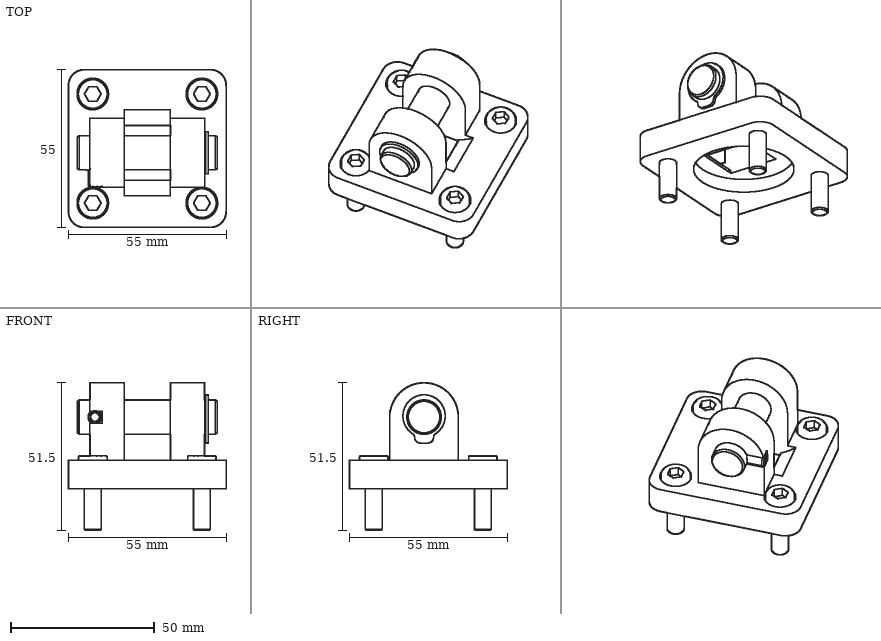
import cadquery as cq
import math

plate_side = 55.0
plate_thickness = 10.0
plate_corner_radius = 5.5

pivot_height = 25.0
pivot_y = -1.5
eye_radius = 12.0
eye_thickness = 12.0
eye_gap = 16.0
eye_outer_x = eye_gap / 2 + eye_thickness

recess_diameter = 35.0
recess_depth = 5.0

slot_throat = 19.0
swing_radius = 21.25

shaft_diameter = 12.0
shaft_length = 48.8
shaft_chamfer = 0.5
shaft_chamfer_length = 0.7

groove_diameter = 11.5
ring_start_x = 20.3
ring_thickness = 1.0
ring_clearance = 0.15
ring_radius = 7.35
ring_offset_z = 0.4
lug_half_width = 3.3
lug_corner_radius = 2.0
lug_fillet_radius = 1.5

lock_notch_height = 4.2
lock_notch_inner_x = -15.8
lock_pin_diameter = 4.75
lock_pin_x = -18.25
lock_pin_face_diameter = 4.2
lock_pin_chamfer_length = 0.65
lock_bore_diameter = 3.0
lock_bore_depth = 3.0
lock_slit_width = 0.5
lock_slit_angle = 45.0

screw_spacing = 38.0
screw_diameter = 6.0
screw_projection = 14.45
screw_tip_chamfer = 0.5
head_diameter = 10.0
head_height = 6.0
head_projection = 1.55
head_fillet = 0.6
counterbore_diameter = 11.0
seat_height = plate_thickness + head_projection - head_height
socket_across_flats = 5.0
socket_depth = 3.0

drill_tip_half_angle = math.radians(60)


def cone_height(radius):
    return radius / math.tan(drill_tip_half_angle)


def make_plate():
    plate = (
        cq.Workplane("XY")
        .rect(plate_side, plate_side)
        .extrude(plate_thickness)
        .edges("|Z")
        .fillet(plate_corner_radius)
    )
    recess = cq.Workplane("XY").circle(recess_diameter / 2).extrude(recess_depth)
    slot = cq.Workplane("XY", origin=(0, pivot_y, 0)).rect(eye_gap, slot_throat).extrude(plate_thickness)
    swing_clearance = (
        cq.Workplane("YZ", origin=(-eye_gap / 2, pivot_y, pivot_height))
        .circle(swing_radius)
        .extrude(eye_gap)
    )
    return plate.cut(recess).cut(slot).cut(swing_clearance)


def make_eye(start_x):
    return (
        cq.Workplane("YZ", origin=(start_x, pivot_y, 0))
        .moveTo(-eye_radius, plate_thickness)
        .lineTo(-eye_radius, pivot_height)
        .threePointArc((0, pivot_height + eye_radius), (eye_radius, pivot_height))
        .lineTo(eye_radius, plate_thickness)
        .close()
        .extrude(eye_thickness)
    )


def make_notch():
    """Cutter for the locking pin seat, open to the outer side and front of the -X eye."""
    notch_width = lock_notch_inner_x + eye_outer_x
    return (
        cq.Workplane("XY")
        .box(notch_width, eye_radius, lock_notch_height, centered=(False, False, True))
        .translate((-eye_outer_x, pivot_y - eye_radius, pivot_height))
    )


def make_shaft():
    radius = shaft_diameter / 2
    half_length = shaft_length / 2
    end_radius = radius - shaft_chamfer
    groove_start = ring_start_x - ring_clearance
    groove_end = ring_start_x + ring_thickness
    groove_radius = groove_diameter / 2
    return (
        cq.Workplane("XY")
        .moveTo(-half_length, 0)
        .lineTo(-half_length, end_radius)
        .lineTo(-half_length + shaft_chamfer_length, radius)
        .lineTo(groove_start, radius)
        .lineTo(groove_start, groove_radius)
        .lineTo(groove_end, groove_radius)
        .lineTo(groove_end, radius)
        .lineTo(half_length - shaft_chamfer_length, radius)
        .lineTo(half_length, end_radius)
        .lineTo(half_length, 0)
        .close()
        .revolve(360, (0, 0, 0), (1, 0, 0))
        .translate((0, pivot_y, pivot_height))
    )


def make_retaining_ring():
    """Ring set off-centre above the pivot axis, with a rounded lug hanging below."""
    fillet_center_y = lug_half_width + lug_fillet_radius
    fillet_reach = ring_radius + lug_fillet_radius
    fillet_drop = math.sqrt(fillet_reach**2 - fillet_center_y**2)
    fillet_center_z = ring_offset_z - fillet_drop
    touch_y = ring_radius * fillet_center_y / fillet_reach
    touch_z = ring_offset_z - ring_radius * fillet_drop / fillet_reach
    lug_bottom = fillet_center_z - lug_corner_radius
    lug_flat_half_width = lug_half_width - lug_corner_radius
    return (
        cq.Workplane("YZ", origin=(ring_start_x, pivot_y, pivot_height))
        .moveTo(-touch_y, touch_z)
        .threePointArc((0, ring_offset_z + ring_radius), (touch_y, touch_z))
        .radiusArc((lug_half_width, fillet_center_z), -lug_fillet_radius)
        .radiusArc((lug_flat_half_width, lug_bottom), lug_corner_radius)
        .lineTo(-lug_flat_half_width, lug_bottom)
        .radiusArc((-lug_half_width, fillet_center_z), lug_corner_radius)
        .radiusArc((-touch_y, touch_z), -lug_fillet_radius)
        .close()
        .extrude(ring_thickness)
    )


def make_lock_pin():
    """Pin running from the pivot axis to the eye front, with a blind bore slit to one side."""
    radius = lock_pin_diameter / 2
    bore_radius = lock_bore_diameter / 2
    bore_bottom_y = lock_bore_depth - eye_radius
    pin = (
        cq.Workplane("XY")
        .moveTo(0, 0)
        .lineTo(radius, 0)
        .lineTo(radius, -eye_radius + lock_pin_chamfer_length)
        .lineTo(lock_pin_face_diameter / 2, -eye_radius)
        .lineTo(bore_radius, -eye_radius)
        .lineTo(bore_radius, bore_bottom_y)
        .lineTo(0, bore_bottom_y + cone_height(bore_radius))
        .close()
        .revolve(360, (0, 0, 0), (0, 1, 0))
    )
    slit = (
        cq.Workplane("XY")
        .box(lock_pin_diameter, lock_bore_depth, lock_slit_width, centered=(False, False, True))
        .translate((0, -eye_radius, 0))
        .rotate((0, 0, 0), (0, 1, 0), lock_slit_angle)
    )
    return pin.cut(slit).translate((lock_pin_x, pivot_y, pivot_height))


def make_screw():
    """Socket-head screw with the underside of its head on Z = 0."""
    head = (
        cq.Workplane("XY")
        .circle(head_diameter / 2)
        .extrude(head_height)
        .faces(">Z")
        .edges()
        .fillet(head_fillet)
    )
    shank_length = seat_height + screw_projection
    shank = (
        cq.Workplane("XY")
        .circle(screw_diameter / 2)
        .extrude(-shank_length)
        .faces("<Z")
        .chamfer(screw_tip_chamfer)
    )
    corner_radius = socket_across_flats / math.sqrt(3)
    socket_bottom = head_height - socket_depth
    hexagon = cq.Workplane("XY").polygon(6, 2 * corner_radius).extrude(head_height)
    drill = (
        cq.Workplane("XZ")
        .moveTo(0, socket_bottom - cone_height(corner_radius))
        .lineTo(corner_radius, socket_bottom)
        .lineTo(corner_radius, head_height)
        .lineTo(0, head_height)
        .close()
        .revolve(360, (0, 0, 0), (0, 1, 0))
    )
    return head.union(shank).cut(hexagon.intersect(drill))


result = make_plate()
for eye_start_x in (-eye_outer_x, eye_gap / 2):
    result = result.union(make_eye(eye_start_x))
result = result.cut(make_notch())

result = result.union(make_shaft()).union(make_lock_pin()).union(make_retaining_ring())

screw = make_screw()
half_spacing = screw_spacing / 2
for x in (-half_spacing, half_spacing):
    for y in (-half_spacing, half_spacing):
        counterbore = (
            cq.Workplane("XY", origin=(x, y, seat_height))
            .circle(counterbore_diameter / 2)
            .extrude(plate_thickness - seat_height)
        )
        result = result.cut(counterbore).union(screw.translate((x, y, seat_height)))